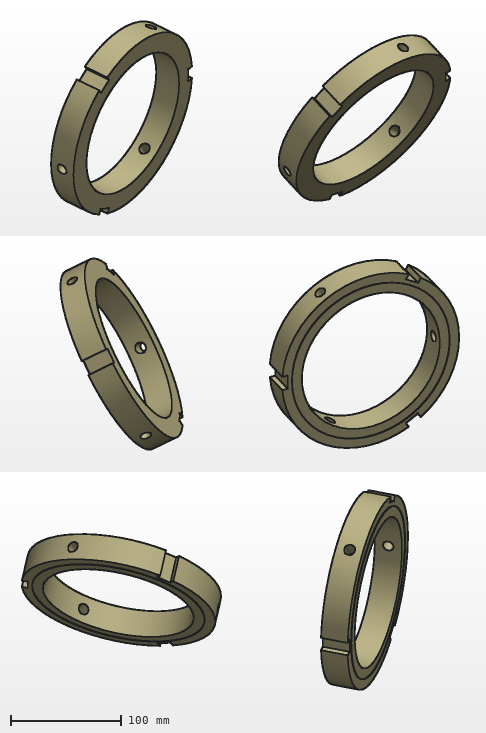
import cadquery as cq

outer_diameter = 179.9
bore_diameter = 140.0
rim_width = 25.5

face_diameter = 160.0
face_height = 0.5

slot_width = 14.0
slot_floor_radius = 84.2

hole_diameter = 10.0

repeat_count = 3
repeat_angle = 360 / repeat_count
first_slot_angle = 0.0
first_hole_angle = first_slot_angle + repeat_angle / 2

width = rim_width + face_height
outer_radius = outer_diameter / 2
cut_margin = 1.8


def make_disc(diameter, thickness):
    """Disc on the X axis that ends at the +X side of the ring."""
    start = width / 2 - thickness
    return cq.Workplane("YZ", origin=(start, 0, 0)).circle(diameter / 2).extrude(thickness)


def make_ring():
    rim = make_disc(outer_diameter, rim_width)
    raised_face = make_disc(face_diameter, width)
    bore = make_disc(bore_diameter, width)
    return rim.union(raised_face).cut(bore)


def make_slot():
    """Slot cutter on the +Y side of the rim."""
    depth = outer_radius + cut_margin - slot_floor_radius
    return (
        cq.Workplane("XY")
        .box(width + 2 * cut_margin, depth, slot_width, centered=(True, False, True))
        .translate((0, slot_floor_radius, 0))
    )


def make_hole():
    """Hole cutter from the ring axis out through the wall at +Y."""
    length = outer_radius + cut_margin
    return cq.Workplane("XZ").circle(hole_diameter / 2).extrude(-length)


def cut_around_axis(body, cutter, first_angle):
    """Cut evenly spaced copies of a +Y cutter around the X axis."""
    for index in range(repeat_count):
        angle = first_angle + index * repeat_angle
        body = body.cut(cutter.rotate((0, 0, 0), (1, 0, 0), angle))
    return body


ring = make_ring()
slotted_ring = cut_around_axis(ring, make_slot(), first_slot_angle)
result = cut_around_axis(slotted_ring, make_hole(), first_hole_angle)